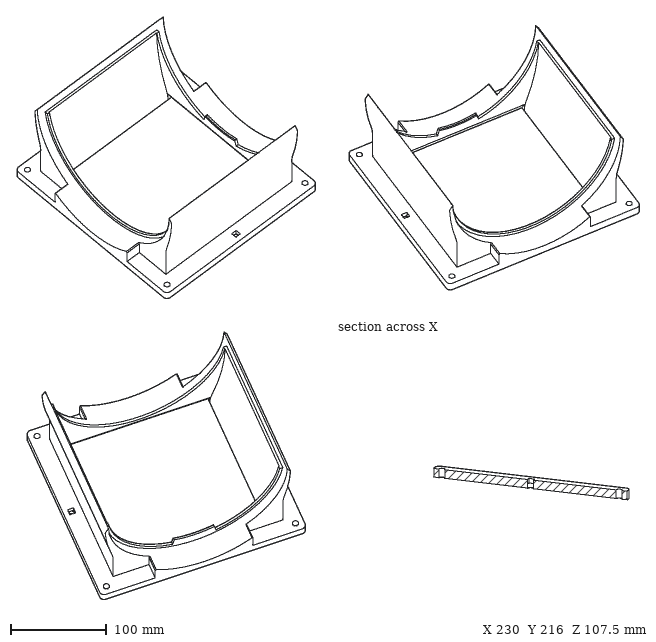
import cadquery as cq
import math

length = 230.0
width = 216.0
height = 107.5
base_thickness = 10.0
corner_radius = 5.0
hole_diameter = 6.2
hole_x = 105.8
hole_y = 99.0
square_depth = base_thickness / 2

bore_radius = 100.0
lip_radius = 96.5
bore_axis_z = base_thickness + bore_radius
lip_top_z = 95.7
cradle_half_length = 90.5
lip_half_length = 80.0
pad_half_width = 54.7
pad_bevel_width = 1.2
pad_bevel_height = 1.4

wall_outer_x = 95.0
outer_bend_start_z = 44.2
outer_bend_radius = 40.0
outer_sweep_angle = math.asin((55.5 - outer_bend_start_z) / outer_bend_radius)
wall_tip_x = 103.7
outer_curve_radius = 200.0
outer_curve_top_z = 100.5
tip_round_top = (102.5, 103.3)
tip_round_radius = 4.0

opening_half_x = 79.0
opening_half_y = 77.0
inner_bend_top_x = 81.2
inner_bend_top_z = 14.0
inner_bend_radius = 43.7
inner_curve_radius = 253.0
ledge_x = 96.1
undercut_depth = 5.0
undercut_height = base_thickness

catch_radius = 88.8
catch_half_angle = math.degrees(math.asin(24.4 / lip_radius))
catch_bevel = 1.0


def y_prism(sketch, y_start, y_end):
    """Extrude a closed XZ outline between two Y positions."""
    return sketch.extrude(y_start - y_end).translate((0, y_start, 0))


def y_cylinder(radius, y_start, y_end):
    outline = cq.Workplane("XZ").center(0, bore_axis_z).circle(radius)
    return y_prism(outline, y_start, y_end)


def block(half_x, half_y, z_top):
    return cq.Workplane("XY").box(2 * half_x, 2 * half_y, z_top, centered=(True, True, False))


def make_base():
    return (
        cq.Workplane("XY")
        .box(length, width, base_thickness, centered=(True, True, False))
        .edges("|Z")
        .fillet(corner_radius)
    )


def make_cradle():
    bend_top_x = wall_outer_x + outer_bend_radius * (1 - math.cos(outer_sweep_angle))
    bend_top_z = outer_bend_start_z + outer_bend_radius * math.sin(outer_sweep_angle)
    outline = (
        cq.Workplane("XZ")
        .moveTo(0, 0)
        .lineTo(wall_outer_x, 0)
        .lineTo(wall_outer_x, outer_bend_start_z)
        .radiusArc((bend_top_x, bend_top_z), outer_bend_radius)
        .radiusArc((wall_tip_x, outer_curve_top_z), -outer_curve_radius)
        .radiusArc(tip_round_top, -tip_round_radius)
        .lineTo(math.sqrt(bore_radius**2 - (bore_axis_z - height) ** 2), height)
        .lineTo(0, height)
        .close()
    )
    half = y_prism(outline, -cradle_half_length, cradle_half_length)
    return half.union(half.mirror("YZ"))


def make_end_pads():
    """Central pads across both ends, bevelled along their outer top edges."""
    top_half_width = pad_half_width - pad_bevel_width
    top_z = bore_axis_z - math.sqrt(bore_radius**2 - top_half_width**2)
    outline = (
        cq.Workplane("XZ")
        .moveTo(-pad_half_width, 0)
        .lineTo(pad_half_width, 0)
        .lineTo(pad_half_width, top_z - pad_bevel_height)
        .lineTo(top_half_width, top_z)
        .lineTo(-top_half_width, top_z)
        .lineTo(-pad_half_width, top_z - pad_bevel_height)
        .close()
    )
    return y_prism(outline, -width / 2, width / 2)


def make_bore():
    """Full bore at both ends and above the ledge; the lip radius in between."""
    full_bore = y_cylinder(bore_radius, -width / 2, width / 2)
    lip_zone = block(length / 2, lip_half_length, lip_top_z)
    lip_bore = y_cylinder(lip_radius, -lip_half_length, lip_half_length)
    return full_bore.cut(lip_zone).union(lip_bore)


def make_opening():
    outline = (
        cq.Workplane("XZ")
        .moveTo(0, 0)
        .lineTo(opening_half_x, 0)
        .radiusArc((inner_bend_top_x, inner_bend_top_z), inner_bend_radius)
        .radiusArc((ledge_x, lip_top_z), -inner_curve_radius)
        .lineTo(0, lip_top_z)
        .close()
    )
    half = y_prism(outline, -opening_half_y, opening_half_y)
    return half.union(half.mirror("YZ"))


def make_undercut():
    """Flare of the opening towards the underside at both Y ends."""
    bottom_half_y = opening_half_y + undercut_depth
    return (
        cq.Workplane("YZ")
        .moveTo(-bottom_half_y, 0)
        .lineTo(bottom_half_y, 0)
        .lineTo(opening_half_y, undercut_height)
        .lineTo(-opening_half_y, undercut_height)
        .close()
        .extrude(opening_half_x, both=True)
    )


def make_catch():
    half_spread = bore_axis_z * math.tan(math.radians(catch_half_angle))
    wedge = (
        cq.Workplane("XZ")
        .moveTo(0, bore_axis_z)
        .lineTo(half_spread, 0)
        .lineTo(-half_spread, 0)
        .close()
    )
    profile = (
        cq.Workplane("YZ")
        .moveTo(opening_half_y, bore_axis_z - bore_radius)
        .lineTo(lip_half_length, bore_axis_z - bore_radius)
        .lineTo(lip_half_length, bore_axis_z - catch_radius)
        .lineTo(opening_half_y + catch_bevel, bore_axis_z - catch_radius)
        .lineTo(opening_half_y, bore_axis_z - catch_radius - catch_bevel)
        .close()
    )
    ring = profile.revolve(360, (0, bore_axis_z, 0), (1, bore_axis_z, 0))
    return ring.intersect(y_prism(wedge, opening_half_y, lip_half_length))


def make_screw_holes():
    places = [(x, y) for x in (-hole_x, hole_x) for y in (-hole_y, 0, hole_y)]
    holes = cq.Workplane("XY").pushPoints(places).circle(hole_diameter / 2).extrude(base_thickness)
    squares = (
        cq.Workplane("XY", origin=(0, 0, base_thickness - square_depth))
        .pushPoints([(-hole_x, 0), (hole_x, 0)])
        .rect(hole_diameter, hole_diameter)
        .extrude(square_depth)
    )
    return holes.union(squares)


body = make_base().union(make_cradle()).union(make_end_pads())
body = body.cut(make_bore()).cut(make_opening()).cut(make_undercut())
result = body.union(make_catch()).cut(make_screw_holes())